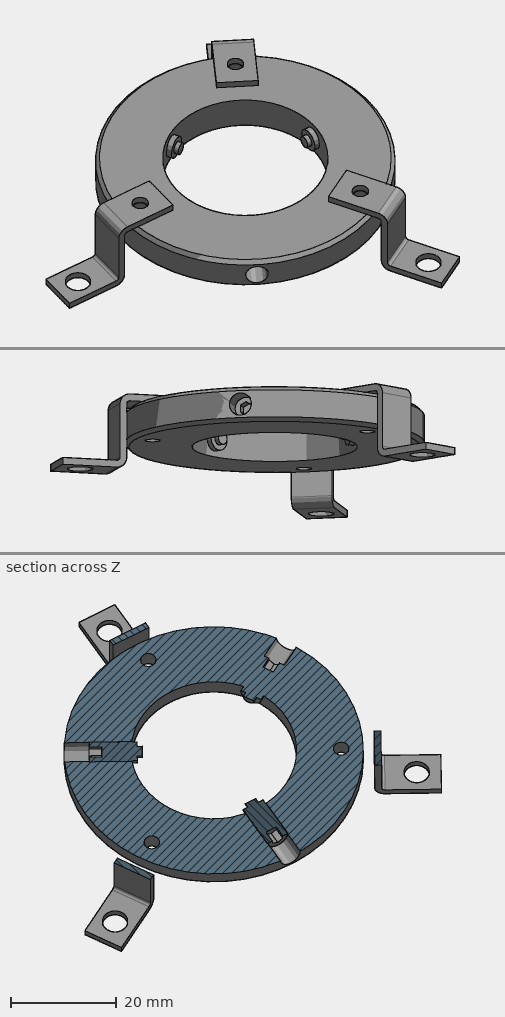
import cadquery as cq
import math

OVERALL_WIDTH = 78.65
COPIES = 3
STEP_ANGLE = 360.0 / COPIES
FIRST_BRACKET_ANGLE = -90.0
FIXED_SCREW_ANGLE = FIRST_BRACKET_ANGLE + 180.0

RING_RADIUS = 28.4
BORE_RADIUS = 15.65
RING_HEIGHT = 6.7
RING_CHAMFER = 0.75
MOUNT_HOLE_DIAMETER = 2.8
MOUNT_HOLE_RADIUS = 24.15

BRACKET_WIDTH = 7.95
SHEET = 1.3
BRACKET_RISE = 14.2
TAB_START = 19.35
WALL_OUTER = 31.8
INNER_BEND = 0.6
OUTER_BEND = INNER_BEND + SHEET
TAB_HOLE_DIAMETER = 3.1
FOOT_HOLE_DIAMETER = 4.8
FOOT_HOLE_RADIUS = 38.45
SLANT = math.radians(FIRST_BRACKET_ANGLE + STEP_ANGLE)
FOOT_END = (OVERALL_WIDTH / 2 - BRACKET_WIDTH / 2 * math.sin(SLANT)) / math.cos(SLANT)

SCREW_DIAMETER = 4.4
SCREW_AXIS_Z = RING_HEIGHT / 2
ENTRY_HOLE_DIAMETER = 4.25
SCREW_OUTER_END = 23.6
SHOULDER_RADIUS = 14.5
POINT_DIAMETER = 2.35
POINT_END = 13.5
SOCKET_FLATS = 2.2
SOCKET_SIDES = 6
SOCKET_DEPTH = 2.35


def around_axis(shape, angle):
    """Turn a shape built along +X to a direction around the Z axis."""
    return shape.rotate((0, 0, 0), (0, 0, 1), angle)


def radial_plane(radius):
    """Plane at a given radius on the screw axis, facing outwards along +X."""
    return cq.Plane(origin=(radius, 0, SCREW_AXIS_Z), xDir=(0, 1, 0), normal=(1, 0, 0))


def make_ring():
    """Chamfered ring with its mounting and screw holes and the fixed screw."""
    ring = cq.Workplane("XY").circle(RING_RADIUS).extrude(RING_HEIGHT)
    ring = ring.edges().chamfer(RING_CHAMFER)
    ring = ring.cut(cq.Workplane("XY").circle(BORE_RADIUS).extrude(RING_HEIGHT))

    mount_hole = (
        cq.Workplane("XY")
        .center(MOUNT_HOLE_RADIUS, 0)
        .circle(MOUNT_HOLE_DIAMETER / 2)
        .extrude(RING_HEIGHT)
    )
    entry_hole = cq.Workplane(radial_plane(0)).circle(ENTRY_HOLE_DIAMETER / 2).extrude(RING_RADIUS)
    screw_seat = cq.Workplane(radial_plane(0)).circle(SCREW_DIAMETER / 2).extrude(SCREW_OUTER_END)
    screw_hole = entry_hole.union(screw_seat)
    for i in range(COPIES):
        ring = ring.cut(around_axis(mount_hole, FIRST_BRACKET_ANGLE + i * STEP_ANGLE))
        ring = ring.cut(around_axis(screw_hole, FIXED_SCREW_ANGLE + i * STEP_ANGLE))
    return ring.union(around_axis(make_screw(), FIXED_SCREW_ANGLE))


def make_bracket():
    """Bracket along +X: tab on top of the ring, outer wall, foot at the bottom."""
    top = RING_HEIGHT + SHEET
    bottom = top - BRACKET_RISE
    wall_inner = WALL_OUTER - SHEET
    bracket = (
        cq.Workplane("XZ")
        .moveTo(TAB_START, RING_HEIGHT)
        .lineTo(wall_inner, RING_HEIGHT)
        .lineTo(wall_inner, bottom)
        .lineTo(FOOT_END, bottom)
        .lineTo(FOOT_END, bottom + SHEET)
        .lineTo(WALL_OUTER, bottom + SHEET)
        .lineTo(WALL_OUTER, top)
        .lineTo(TAB_START, top)
        .close()
        .extrude(BRACKET_WIDTH / 2, both=True)
    )

    def bend_edge(x, z):
        return cq.selectors.NearestToPointSelector((x, 0, z))

    bracket = bracket.edges(bend_edge(wall_inner, RING_HEIGHT)).fillet(INNER_BEND)
    bracket = bracket.edges(bend_edge(WALL_OUTER, bottom + SHEET)).fillet(INNER_BEND)
    bracket = bracket.edges(bend_edge(WALL_OUTER, top)).fillet(OUTER_BEND)
    bracket = bracket.edges(bend_edge(wall_inner, bottom)).fillet(OUTER_BEND)

    for radius, diameter, base in (
        (MOUNT_HOLE_RADIUS, TAB_HOLE_DIAMETER, RING_HEIGHT),
        (FOOT_HOLE_RADIUS, FOOT_HOLE_DIAMETER, bottom),
    ):
        hole = cq.Workplane("XY").workplane(offset=base).center(radius, 0).circle(diameter / 2)
        bracket = bracket.cut(hole.extrude(SHEET))
    return bracket


def make_screw():
    """Set screw along +X, its dog point towards the centre of the ring."""
    body = (
        cq.Workplane(radial_plane(SHOULDER_RADIUS))
        .circle(SCREW_DIAMETER / 2)
        .extrude(SCREW_OUTER_END - SHOULDER_RADIUS)
    )
    point = (
        cq.Workplane(radial_plane(POINT_END))
        .circle(POINT_DIAMETER / 2)
        .extrude(SHOULDER_RADIUS - POINT_END)
    )
    socket = (
        cq.Workplane(radial_plane(SCREW_OUTER_END))
        .polygon(SOCKET_SIDES, SOCKET_FLATS, circumscribed=True)
        .extrude(-SOCKET_DEPTH)
    )
    return body.union(point).cut(socket)


ring = make_ring()
brackets = [around_axis(make_bracket(), FIRST_BRACKET_ANGLE + i * STEP_ANGLE) for i in range(COPIES)]
loose_screws = [around_axis(make_screw(), FIXED_SCREW_ANGLE + i * STEP_ANGLE) for i in range(1, COPIES)]

result = cq.Compound.makeCompound([
    ring.val(),
    *[bracket.val() for bracket in brackets],
    *[screw.val() for screw in loose_screws],
])